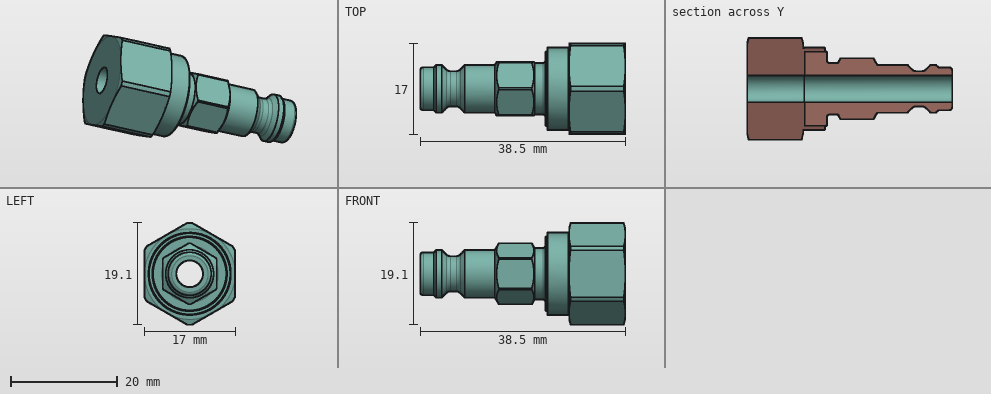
import cadquery as cq
import math

TOTAL_LENGTH = 38.5
PASSAGE_DIAMETER = 4.95
TANGENT_ALLOWANCE = math.tan(math.radians(22.5))

TIP_RADIUS = 8.1 / 2
TIP_ROUND = 0.6
PLUG_RADIUS = 9.0 / 2
TIP_LENGTH = 2.58
RIM_END = 4.1
NECK_RADIUS = 6.65 / 2
NECK_FILLET = 1.0
SHANK_START = 8.4

NIPPLE_HEX_START = 14.05
NIPPLE_HEX_END = 21.5
NIPPLE_HEX_FLATS = 10.1
NIPPLE_HEX_TURNED_RADIUS = 11.47 / 2
NIPPLE_HEX_CHAMFER_ANGLE = 30.0

COLLAR_RADIUS = 9.7 / 2
COLLAR_FILLET = 0.45
FLANGE_RADIUS = 14.0 / 2
FLANGE_START = 23.5
FLANGE_END = 27.72
EDGE_CHAMFER = 0.15

NUT_START = 23.85
NUT_SLEEVE_RADIUS = 15.5 / 2
NUT_BORE_RADIUS = 14.05 / 2
NUT_HEX_START = 27.95
NUT_HEX_FLATS = 17.0
NUT_HEX_TURNED_RADIUS = 19.15 / 2
NUT_HEX_CHAMFER_ANGLE = 15.0


def revolve_about_x(profile):
    """Turn a closed XY profile one full revolution about the X axis."""
    return profile.close().revolve(360, (0, 0, 0), (1, 0, 0))


def cylinder(start, end, radius):
    """Solid cylinder along X."""
    return cq.Workplane("YZ").workplane(offset=start).circle(radius).extrude(end - start)


def turned_hexagon(start, end, flats, turned_radius, end_radii, chamfer_angle):
    """Hexagonal bar with corners up and down, turned to a diameter and coned at both ends."""
    prism = (
        cq.Workplane("YZ")
        .workplane(offset=start)
        .polygon(6, flats, circumscribed=True)
        .extrude(end - start)
    )
    start_radius, end_radius = end_radii
    slope = math.tan(math.radians(chamfer_angle))
    start_length = (turned_radius - start_radius) * slope
    end_length = (turned_radius - end_radius) * slope
    envelope = revolve_about_x(
        cq.Workplane("XY")
        .moveTo(start, 0)
        .lineTo(start, start_radius)
        .lineTo(start + start_length, turned_radius)
        .lineTo(end - end_length, turned_radius)
        .lineTo(end, end_radius)
        .lineTo(end, 0)
    )
    return prism.intersect(envelope)


def plug_end():
    """Rounded tip, raised rim, filleted locking neck and shank."""
    groove_depth = PLUG_RADIUS - NECK_RADIUS
    setback = NECK_FILLET * TANGENT_ALLOWANCE
    diagonal_setback = setback * math.sqrt(0.5)
    front_corner = RIM_END + groove_depth
    back_corner = SHANK_START - groove_depth
    fillet_top = NECK_RADIUS + diagonal_setback
    return revolve_about_x(
        cq.Workplane("XY")
        .lineTo(0, TIP_RADIUS - TIP_ROUND)
        .radiusArc((TIP_ROUND, TIP_RADIUS), TIP_ROUND)
        .lineTo(TIP_LENGTH, TIP_RADIUS)
        .lineTo(TIP_LENGTH + PLUG_RADIUS - TIP_RADIUS, PLUG_RADIUS)
        .lineTo(RIM_END, PLUG_RADIUS)
        .lineTo(front_corner - diagonal_setback, fillet_top)
        .radiusArc((front_corner + setback, NECK_RADIUS), -NECK_FILLET)
        .lineTo(back_corner - setback, NECK_RADIUS)
        .radiusArc((back_corner + diagonal_setback, fillet_top), -NECK_FILLET)
        .lineTo(SHANK_START, PLUG_RADIUS)
        .lineTo(NIPPLE_HEX_START, PLUG_RADIUS)
        .lineTo(NIPPLE_HEX_START, 0)
    )


def collar_and_flange():
    """Round collar that flares into the flange held by the nut."""
    return revolve_about_x(
        cq.Workplane("XY")
        .moveTo(NIPPLE_HEX_END, 0)
        .lineTo(NIPPLE_HEX_END, COLLAR_RADIUS)
        .lineTo(FLANGE_START - COLLAR_FILLET, COLLAR_RADIUS)
        .radiusArc((FLANGE_START, COLLAR_RADIUS + COLLAR_FILLET), -COLLAR_FILLET)
        .lineTo(FLANGE_START, FLANGE_RADIUS - EDGE_CHAMFER)
        .lineTo(FLANGE_START + EDGE_CHAMFER, FLANGE_RADIUS)
        .lineTo(FLANGE_END, FLANGE_RADIUS)
        .lineTo(FLANGE_END, 0)
    )


def build_nipple():
    """Plug, hexagon and flange as one bored solid."""
    hexagon = turned_hexagon(
        NIPPLE_HEX_START,
        NIPPLE_HEX_END,
        NIPPLE_HEX_FLATS,
        NIPPLE_HEX_TURNED_RADIUS,
        (PLUG_RADIUS, COLLAR_RADIUS),
        NIPPLE_HEX_CHAMFER_ANGLE,
    )
    body = plug_end().union(hexagon).union(collar_and_flange())
    return body.cut(cylinder(0, FLANGE_END, PASSAGE_DIAMETER / 2))


def nut_sleeve():
    """Round sleeve with chamfered ends, running up to the hexagon."""
    chamfered_radius = NUT_SLEEVE_RADIUS - EDGE_CHAMFER
    return revolve_about_x(
        cq.Workplane("XY")
        .moveTo(NUT_START, 0)
        .lineTo(NUT_START, chamfered_radius)
        .lineTo(NUT_START + EDGE_CHAMFER, NUT_SLEEVE_RADIUS)
        .lineTo(NUT_HEX_START - EDGE_CHAMFER, NUT_SLEEVE_RADIUS)
        .lineTo(NUT_HEX_START, chamfered_radius)
        .lineTo(NUT_HEX_START, 0)
    )


def build_nut():
    """Hexagon nut whose front recess seats the nipple flange."""
    face_radius = NUT_HEX_FLATS / 2
    hexagon = turned_hexagon(
        NUT_HEX_START,
        TOTAL_LENGTH,
        NUT_HEX_FLATS,
        NUT_HEX_TURNED_RADIUS,
        (face_radius, face_radius),
        NUT_HEX_CHAMFER_ANGLE,
    )
    flange_recess = cylinder(NUT_START, FLANGE_END, NUT_BORE_RADIUS)
    passage = cylinder(FLANGE_END, TOTAL_LENGTH, PASSAGE_DIAMETER / 2)
    return nut_sleeve().union(hexagon).cut(flange_recess).cut(passage)


nipple = build_nipple()
nut = build_nut()
result = cq.Compound.makeCompound([nipple.solids().val(), nut.solids().val()])